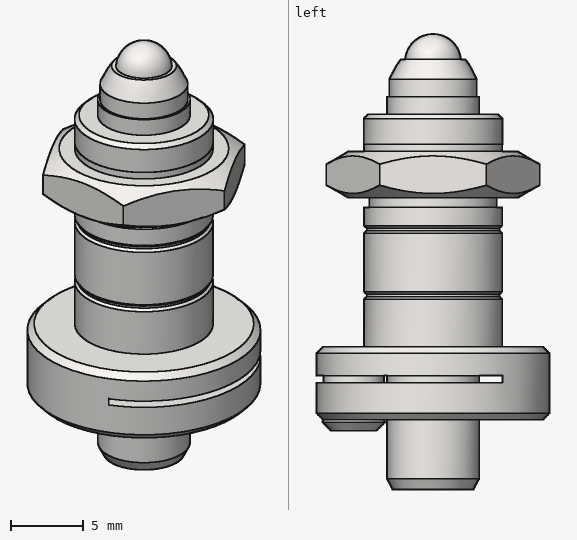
import cadquery as cq
import math

pin_chamfer_top = 0.75
knob_bottom = 4.78
slot_bottom = 7.35
slot_top = 7.8
knob_top = 9.8
lower_groove = 13.3
upper_groove = 17.85
neck_bottom = 19.35
nut_bottom = 20.0
nut_top = 23.2
thread_top = 23.7
body_top = 25.75
pin_top = 26.95
nose_bottom = 28.12
nose_top = 29.5
overall_height = 31.25

pin_radius = 6.35 / 2
pin_end_radius = 2.78
collar_radius = 9.53 / 2
body_radius = 9.5 / 2
neck_radius = 8.75 / 2
nose_radius = 6.03 / 2
nose_top_radius = 2.22
ball_radius = 1.95
body_chamfer = 0.3

groove_width = 0.53
groove_depth = 0.2

knob_radius = 16.0 / 2
knob_chamfer = 0.47
slot_front_y = -4.75

nut_across_flats = 12.7
nut_face_radius = 5.8
nut_chamfer_angle = 30

screw_y = 5.45
screw_radius = 4.15 / 2
screw_rim_radius = 2.15
screw_end_radius = 1.55
screw_rim_height = 4.62
screw_bottom = 4.03


def cylinder(radius, bottom, top):
    """Solid cylinder on the Z axis between two heights."""
    return cq.Workplane("XY").workplane(offset=bottom).circle(radius).extrude(top - bottom)


def make_pin():
    """Pin through the whole part, with a domed nose and a ball in its tip."""
    ball_center = overall_height - ball_radius
    ball_edge = math.sqrt(ball_radius**2 - (nose_top - ball_center) ** 2)
    arc_z = ball_center + ball_radius * math.sin(math.pi / 4)
    arc_r = ball_radius * math.cos(math.pi / 4)
    nose_bulge = 0.047
    nose_mid_radius = (nose_radius + nose_top_radius) / 2 + nose_bulge
    nose_mid = (nose_bottom + nose_top) / 2 + nose_bulge
    return (
        cq.Workplane("XZ")
        .moveTo(0, 0)
        .lineTo(pin_end_radius, 0)
        .lineTo(pin_radius, pin_chamfer_top)
        .lineTo(pin_radius, pin_top)
        .lineTo(nose_radius, pin_top)
        .lineTo(nose_radius, nose_bottom)
        .threePointArc((nose_mid_radius, nose_mid), (nose_top_radius, nose_top))
        .lineTo(ball_edge, nose_top)
        .threePointArc((arc_r, arc_z), (0, overall_height))
        .close()
        .revolve(360, (0, 0, 0), (0, 1, 0))
    )


def make_groove(height):
    """Ring with a trapezoidal section, used to cut a groove into the body."""
    half_width = groove_width / 2
    root_half_width = half_width - groove_depth
    root_radius = body_radius - groove_depth
    return (
        cq.Workplane("XZ")
        .polyline([
            (body_radius, height - half_width),
            (root_radius, height - root_half_width),
            (root_radius, height + root_half_width),
            (body_radius, height + half_width),
        ])
        .close()
        .revolve(360, (0, 0, 0), (0, 1, 0))
    )


def make_body():
    """Grooved sleeve with a neck below the nut and a collar above it."""
    body = cylinder(body_radius, knob_top, neck_bottom)
    for height in (lower_groove, upper_groove):
        body = body.cut(make_groove(height))
    neck = cylinder(neck_radius, neck_bottom, nut_bottom)
    thread = cylinder(body_radius, nut_bottom, thread_top)
    collar = cylinder(collar_radius, thread_top, body_top).faces(">Z").chamfer(body_chamfer)
    return body.union(neck).union(thread).union(collar)


def make_nut():
    """Hexagon with flats facing +X and -X, trimmed by a cone at each end."""
    corner_diameter = nut_across_flats / math.cos(math.pi / 6)
    corner_radius = corner_diameter / 2
    cone_drop = (corner_radius - nut_face_radius) * math.tan(math.radians(nut_chamfer_angle))
    hexagon = (
        cq.Workplane("XY")
        .workplane(offset=nut_bottom)
        .transformed(rotate=(0, 0, 90))
        .polygon(6, corner_diameter)
        .extrude(nut_top - nut_bottom)
    )
    envelope = (
        cq.Workplane("XZ")
        .polyline([
            (0, nut_bottom),
            (nut_face_radius, nut_bottom),
            (corner_radius, nut_bottom + cone_drop),
            (corner_radius, nut_top - cone_drop),
            (nut_face_radius, nut_top),
            (0, nut_top),
        ])
        .close()
        .revolve(360, (0, 0, 0), (0, 1, 0))
    )
    return hexagon.intersect(envelope)


def make_knob():
    """Chamfered disc with a horizontal slot open to the rear and both sides."""
    disc = cylinder(knob_radius, knob_bottom, knob_top)
    disc = disc.faces("<Z or >Z").chamfer(knob_chamfer)
    slot_length = knob_radius - slot_front_y
    slot = (
        cq.Workplane("XY")
        .box(2 * knob_radius, slot_length, slot_top - slot_bottom, centered=(True, False, False))
        .translate((0, slot_front_y, slot_bottom))
    )
    return disc.cut(slot)


def make_screw():
    """Screw bridging the slot, with a tapered end below the knob."""
    return (
        cq.Workplane("XZ")
        .polyline([
            (0, screw_bottom),
            (screw_end_radius, screw_bottom),
            (screw_rim_radius, screw_rim_height),
            (screw_radius, knob_bottom),
            (screw_radius, slot_top),
            (0, slot_top),
        ])
        .close()
        .revolve(360, (0, 0, 0), (0, 1, 0))
        .translate((0, screw_y, 0))
    )


result = make_knob().union(make_pin()).union(make_body()).union(make_nut()).union(make_screw())